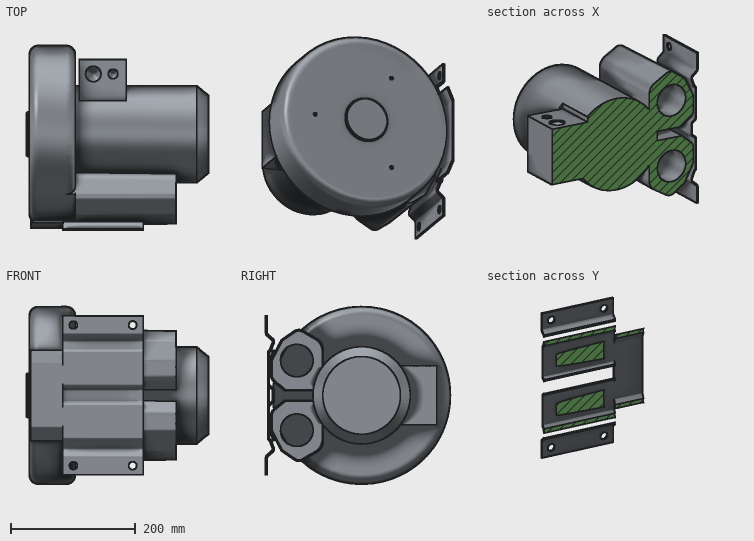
import cadquery as cq
import math


housing_diameter = 285.0
housing_radius = housing_diameter / 2
housing_depth = 74.0
housing_fillet = 14.8
cap_radius = 36.0
cap_thickness = 4.5
cap_chamfer = 1.8
screw_hole_radius = 2.7
screw_hole_depth = 6.0
screw_circle_radius = 87.0
screw_count = 3

motor_radius = 78.0
motor_end = 287.5
motor_nose_length = 19.0
motor_nose_radius = 62.3

box_start = 79.8
box_length = 76.0
box_inner_y = 54.0
box_outer_y = 120.2
box_top_z = 47.5
gland_y = 96.7
large_gland_x = 102.7
large_gland_radius = 12.5
small_gland_x = 134.5
small_gland_radius = 7.7
gland_depth = 3.0

drill_half_angle = math.radians(59)

pipe_end = 235.5
pipe_draft = 0.7
pipe_bore_radius = 26.0
pipe_bore_y = -103.8
pipe_bore_z = 55.8
pipe_corners = [
    (-61.5, 85.0, 20.8),
    (-101.2, 108.0, 12.5),
    (-128.8, 89.0, 7.7),
    (-145.7, 56.5, 9.0),
    (-145.7, 25.8, 14.2),
    (-123.0, 7.5, 0),
    (-61.5, 7.5, 0),
]

sheet = 3.0
inner_bend_radius = 3.3
foot_start = 54.0
foot_end = 183.0
overall_y = 296.7
tab_face_y = housing_radius - overall_y
tab_y = tab_face_y + sheet / 2
plate_setback = 3.3
plate_y = tab_y + plate_setback
tab_top_z = 127.5
foot_half = [
    (tab_y, tab_top_z),
    (tab_y, 98.2),
    (-140.5, 87.5),
    (-146.3, 72.7),
    (plate_y, 69.0),
    (plate_y, 15.7),
    (-141.5, 10.0),
]
foot_hole_radius = 6.2
foot_hole_z = 112.7
foot_hole_xs = (70.5, 166.0)
tongue_start = 2.7
tongue_half = [
    (-140.3, 72.0),
    (plate_y, 50.5),
]


def axial_cylinder(x_start, x_end, radius, y=0.0, z=0.0):
    """Solid cylinder along +X."""
    return cq.Workplane("YZ", origin=(x_start, y, z)).circle(radius).extrude(x_end - x_start)


def drill(point, direction, radius, depth):
    """Drilled hole: a straight bore with a conical bottom."""
    tip = depth + radius / math.tan(drill_half_angle)
    half_section = [(0, 0), (radius, 0), (radius, depth), (0, tip)]
    plane = cq.Plane(origin=point, normal=direction)
    cutter = cq.Workplane("XZ").polyline(half_section).close().revolve(360, (0, 0), (0, 1))
    return cq.Workplane(cutter.val().moved(cq.Location(plane)))


def mitred_side(path, offset):
    """Points of a centre line shifted sideways by offset, with mitred corners."""
    headings = [math.atan2(b[1] - a[1], b[0] - a[0]) for a, b in zip(path, path[1:])]
    before = headings[:1] + headings
    after = headings + headings[-1:]
    side = []
    for (y, z), heading_in, heading_out in zip(path, before, after):
        middle = (heading_in + heading_out) / 2
        reach = offset / math.cos((heading_out - heading_in) / 2)
        side.append((y - reach * math.sin(middle), z + reach * math.cos(middle)))
    return side


def bent_sheet(half_path, x_start, x_end):
    """Sheet along X that follows a centre line mirrored about Z = 0, with rounded bends."""
    path = half_path + [(y, -z) for y, z in reversed(half_path)]
    left = mitred_side(path, sheet / 2)
    right = mitred_side(path, -sheet / 2)
    section = cq.Workplane("YZ", origin=(x_start, 0, 0)).polyline(left + right[::-1]).close()
    body = section.extrude(x_end - x_start)
    x_middle = (x_start + x_end) / 2
    for i in range(1, len(path) - 1):
        (y0, z0), (y1, z1), (y2, z2) = path[i - 1:i + 2]
        turns_left = (y1 - y0) * (z2 - z1) - (z1 - z0) * (y2 - y1) > 0
        inside, outside = (left[i], right[i]) if turns_left else (right[i], left[i])
        for corner, radius in ((inside, inner_bend_radius), (outside, inner_bend_radius + sheet)):
            edge = cq.selectors.NearestToPointSelector((x_middle, *corner))
            body = body.edges("|X").edges(edge).fillet(radius)
    return body


def make_housing():
    body = axial_cylinder(0, housing_depth, housing_radius).edges().fillet(housing_fillet)
    cap = axial_cylinder(-cap_thickness, housing_fillet, cap_radius).faces("<X").chamfer(cap_chamfer)
    body = body.union(cap)
    for i in range(screw_count):
        angle = 2 * math.pi * i / screw_count
        point = (0, screw_circle_radius * math.cos(angle), screw_circle_radius * math.sin(angle))
        body = body.cut(drill(point, (1, 0, 0), screw_hole_radius, screw_hole_depth))
    return body


def make_motor():
    half_section = [
        (housing_fillet, 0),
        (housing_fillet, motor_radius),
        (motor_end - motor_nose_length, motor_radius),
        (motor_end, motor_nose_radius),
        (motor_end, 0),
    ]
    return cq.Workplane("XY").polyline(half_section).close().revolve(360, (0, 0), (1, 0))


def box_block(bottom_z, top_z):
    """Block on the terminal box's footprint."""
    size_y = box_outer_y - box_inner_y
    corner = (box_start, box_inner_y, bottom_z)
    return cq.Workplane("XY", origin=corner).box(box_length, size_y, top_z - bottom_z, centered=False)


def make_terminal_box():
    """Box with its top lying below the motor's surface where the two meet."""
    body = box_block(-box_top_z, box_top_z)
    for x, radius in ((large_gland_x, large_gland_radius), (small_gland_x, small_gland_radius)):
        body = body.cut(drill((x, gland_y, box_top_z), (0, 0, -1), radius, gland_depth))
    return body


def make_box_clearance():
    """Room above the box, which leaves a flat-bottomed recess in the motor."""
    return box_block(box_top_z, motor_radius)


def make_pipe():
    """Upper pipe: drafted towards +X, bored through, with a root that fills the housing's rounded rim."""
    section = [(y, z) for y, z, _ in pipe_corners]
    rim_start = housing_depth - housing_fillet
    pipe = cq.Workplane("YZ", origin=(housing_depth, 0, 0)).polyline(section).close()
    pipe = pipe.extrude(pipe_end - housing_depth, taper=pipe_draft)
    root = cq.Workplane("YZ", origin=(rim_start, 0, 0)).polyline(section).close().extrude(housing_fillet)
    root = root.intersect(axial_cylinder(rim_start, housing_depth, housing_radius))
    for y, z, radius in pipe_corners:
        if radius > 0:
            edge = cq.selectors.NearestToPointSelector(((housing_depth + pipe_end) / 2, y, z))
            pipe = pipe.edges("not(#X)").edges(edge).fillet(radius)
    bore = axial_cylinder(housing_depth, pipe_end, pipe_bore_radius, pipe_bore_y, pipe_bore_z)
    return pipe.cut(bore).union(root)


def make_foot():
    body = bent_sheet(foot_half, foot_start, foot_end)
    for x in foot_hole_xs:
        for z in (foot_hole_z, -foot_hole_z):
            hole = cq.Workplane("XZ", origin=(x, tab_y + sheet, z)).circle(foot_hole_radius)
            body = body.cut(hole.extrude(2 * sheet))
    return body.union(bent_sheet(tongue_half, tongue_start, foot_start))


upper_pipe = make_pipe()
lower_pipe = upper_pipe.mirror("XY")

motor = make_motor().cut(make_box_clearance())
result = make_housing().union(motor).union(make_terminal_box())
result = result.union(upper_pipe).union(lower_pipe).union(make_foot())